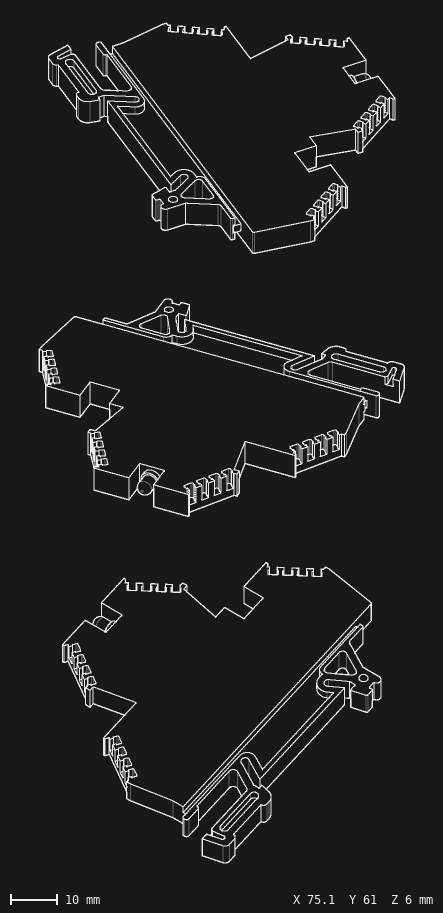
import cadquery as cq
import math

thickness = 6.0
web_thickness = 1.95
web_bottom = (thickness - web_thickness) / 2
web_top = web_bottom + web_thickness
overlap = 0.75

tower_center = 35.75
body_center = 39.0
housing_bottom = 14.05
body_top = 38.9
housing_top = 61.0
slope_angle = math.radians(56.6)

tower_neck_half = 14.4
tower_waist_half = 16.45
tower_shelf_half = 17.65
tower_slope_half = 17.0
tower_lip_half = 11.2
body_left_foot_half = 34.4
body_right_foot_half = 34.1
body_shelf_half = 36.1
body_slope_half = 35.4
body_lip_half = 29.5

tower_shelf_bottom = 48.9
tower_shelf_top = 50.1
body_bend_height = 16.75
body_shelf_bottom = 26.9
body_shelf_top = 27.85
lip_height = 0.45
lip_undercut = 0.9
corner_radius = 0.4

groove_count = 4
groove_pitch = 3.15
groove_mouth = 1.65
groove_mouth_depth = 0.8
groove_head = 2.2
groove_depth = 2.0
groove_corner = 0.3
cut_overrun = 0.4
tower_groove_start = 1.0
body_groove_start = 1.35

screw_notch_width = 5.85
screw_notch_floor = 55.4
side_notch_left = 53.4
side_notch_right = 60.4
side_notch_floor = 33.7

screw_flange_radius = 2.1
screw_flange_top = 56.6
screw_radius = 1.65
screw_tip = 60.6
screw_dome_radius = 1.4

strip_bottom = 11.8
left_strip_top = 12.5
right_strip_top = 12.7
tongue_bottom = 11.1
bar_top = 6.3
bar_bottom = 5.2
left_foot_top = 5.6
leg_bottom = 5.3
left_hook_top = 3.9
right_hook_top = 3.8
left_foot_recess_depth = 0.9

tongue_left = 2.0
tongue_right = 6.45
left_foot_tip = 1.35
left_foot_recess = (5.0, 14.95)
left_foot_recess_flare = 0.4
left_hook_foot = 18.5
left_hook_tip = 19.3
bar_rim_left = 22.8
right_hook_tip = 51.3
right_hook_foot = 52.3
right_foot_recess = (54.3, 56.0)
right_foot_end_radius = 1.0
right_foot_right = right_foot_recess[1] + 2 * right_foot_end_radius
strip_right = 67.0
web_right = 67.2

lean = math.radians(60)
slot_radius = 0.9
left_slot = (22.45, 10.7)
right_slot = (50.1, 8.8)
leg_width = 2.0
left_rim_radius = 1.95
right_rim_radius = 2.5
right_rim_step = 51.3
right_rim_left = right_slot[0] - right_rim_radius
right_rim_top = right_slot[1] + right_rim_radius

small_corner = 0.2
foot_corner = 0.3
tongue_top_corner = 0.45
tongue_tip_corner = 0.7
tongue_step_corner = 0.4
left_leg_top_corner = 1.05
left_leg_bottom_corner = 0.9
left_foot_tip_corner = 1.1
left_foot_recess_corner = 0.9
left_hook_corner = 2.2
right_leg_top_corner = 0.75
right_rim_step_corner = 1.35

web_notch_top = 13.5
web_notch_middle = 13.1
web_notch_x = 5.0
web_notch_end = 4.4

triangle_left = 51.45
triangle_right = 59.7
triangle_corner = 0.9
hole_center = (55.65, 3.45)
hole_diameter = 1.95
relief_bottom = 1.8
relief_corner = 0.45
relief_flare_height = 5.0
relief_left = (1.6, 2.5)
relief_right = (3.45, 3.0)
pocket_center = (10.7, 3.5)
pocket_length = 12.7
pocket_width = 1.95


def rounded_outline(points):
    """Closed outline through (x, y) corners; a third value rounds that corner."""
    path = []
    count = len(points)
    for i, point in enumerate(points):
        corner = cq.Vector(point[0], point[1])
        radius = point[2] if len(point) > 2 else 0
        if not radius:
            path.append((corner, None, corner))
            continue
        before = (cq.Vector(*points[i - 1][:2]) - corner).normalized()
        after = (cq.Vector(*points[(i + 1) % count][:2]) - corner).normalized()
        half = before.getAngle(after) / 2
        tangent = radius / math.tan(half)
        bulge = radius / math.sin(half) - radius
        middle = corner + (before + after).normalized() * bulge
        path.append((corner + before * tangent, middle, corner + after * tangent))
    edges = []
    for i, (start, middle, end) in enumerate(path):
        previous_end = path[i - 1][2]
        if (start - previous_end).Length > 0.0001:
            edges.append(cq.Edge.makeLine(previous_end, start))
        if middle is not None:
            edges.append(cq.Edge.makeThreePointArc(start, middle, end))
    return cq.Wire.assembleEdges(edges)


def plate(points, bottom=0.0, top=thickness):
    outline = rounded_outline(points)
    solid = cq.Solid.extrudeLinear(outline, [], cq.Vector(0, 0, top - bottom))
    return cq.Workplane(obj=solid.translate(cq.Vector(0, 0, bottom)))


def block(left, right, low, high):
    return plate([(left, low), (right, low), (right, high), (left, high)])


def two_sided_plate(center, right_points, left_points):
    """Plate with each side given as (half width, y, corner radius) from bottom to top."""
    right = [(center + half, *rest) for half, *rest in right_points]
    left = [(center - half, *rest) for half, *rest in reversed(left_points)]
    return plate(right + left)


def lip_points(slope_half, slope_start, lip_half, top):
    """Slope rising from a shelf, ending under a small overhanging lip."""
    slope_end = top - lip_undercut
    end_half = slope_half - (slope_end - slope_start) / math.tan(slope_angle)
    return [(slope_half, slope_start), (end_half, slope_end), (lip_half, top - lip_height), (lip_half, top)]


def grooves(center, side, slope_half, slope_start, first):
    """Grooves along one slope; side is -1 for the left slope and 1 for the right."""
    along = (-side * math.cos(slope_angle), math.sin(slope_angle))
    inward = (-side * math.sin(slope_angle), -math.cos(slope_angle))
    mouth = groove_mouth / 2
    head = groove_head / 2
    profile = [
        (-mouth, -cut_overrun),
        (-mouth, groove_mouth_depth),
        (-head, groove_mouth_depth),
        (-head, groove_depth, groove_corner),
        (head, groove_depth, groove_corner),
        (head, groove_mouth_depth),
        (mouth, groove_mouth_depth),
        (mouth, -cut_overrun),
    ]
    cutters = []
    for i in range(groove_count):
        distance = first + i * groove_pitch
        points = []
        for u, v, *radius in profile:
            x = center + side * slope_half + (distance + u) * along[0] + v * inward[0]
            y = slope_start + (distance + u) * along[1] + v * inward[1]
            points.append((x, y, *radius))
        cutters.append(plate(points, web_bottom, thickness))
    return cutters


def make_housing():
    body_side = [
        (body_shelf_half, body_shelf_bottom),
        (body_shelf_half, body_shelf_top),
        *lip_points(body_slope_half, body_shelf_top, body_lip_half, body_top),
    ]
    body_right = [(body_right_foot_half, housing_bottom, corner_radius), *body_side]
    body_left = [(body_left_foot_half, housing_bottom), (body_left_foot_half, body_bend_height), *body_side]
    body = two_sided_plate(body_center, body_right, body_left)

    tower_side = [
        (tower_neck_half, body_top),
        (tower_waist_half, tower_shelf_bottom),
        (tower_shelf_half, tower_shelf_bottom),
        (tower_shelf_half, tower_shelf_top),
        *lip_points(tower_slope_half, tower_shelf_top, tower_lip_half, housing_top),
    ]
    tower = two_sided_plate(tower_center, tower_side, tower_side)

    housing = body.union(tower)
    half_notch = screw_notch_width / 2
    housing = housing.cut(
        block(tower_center - half_notch, tower_center + half_notch, screw_notch_floor, housing_top)
    )
    housing = housing.cut(block(side_notch_left, side_notch_right, side_notch_floor, body_top))
    for side in (-1, 1):
        tower_grooves = grooves(tower_center, side, tower_slope_half, tower_shelf_top, tower_groove_start)
        body_grooves = grooves(body_center, side, body_slope_half, body_shelf_top, body_groove_start)
        for cutter in tower_grooves + body_grooves:
            housing = housing.cut(cutter)
    return housing


def make_screw():
    dome_start = screw_tip - screw_dome_radius
    dome_middle = screw_dome_radius * math.sqrt(0.5)
    tip_flat = screw_radius - screw_dome_radius
    root = screw_notch_floor - overlap
    profile = (
        cq.Workplane("XY")
        .moveTo(0, root)
        .lineTo(screw_flange_radius, root)
        .lineTo(screw_flange_radius, screw_flange_top)
        .lineTo(screw_radius, screw_flange_top)
        .lineTo(screw_radius, dome_start)
        .threePointArc((tip_flat + dome_middle, dome_start + dome_middle), (tip_flat, screw_tip))
        .lineTo(0, screw_tip)
        .close()
    )
    screw = profile.revolve(360, (0, 0, 0), (0, 1, 0))
    return screw.translate((tower_center, 0, thickness / 2))


def slot_edge(center, direction, side, y):
    """X of one straight slot wall at height y; direction 1 leans right going up."""
    run = (y - center[1]) / math.tan(lean)
    return center[0] + direction * run + side * slot_radius / math.sin(lean)


def slot_end(center, direction):
    """Two rounded corners that make the slot's half-round end, left one first."""
    along = (direction * math.cos(lean), math.sin(lean))
    across = (math.sin(lean), -direction * math.cos(lean))
    corners = []
    for side in (-1, 1):
        x = center[0] + slot_radius * (along[0] + side * across[0])
        y = center[1] + slot_radius * (along[1] + side * across[1])
        corners.append((x, y, slot_radius))
    return corners


def make_frame():
    leg_left_low = slot_edge(left_slot, 1, -1, left_foot_top) - leg_width
    leg_left_high = slot_edge(left_slot, 1, -1, strip_bottom) - leg_width
    left_leg_inner = slot_edge(left_slot, 1, -1, leg_bottom)
    right_leg_inner = slot_edge(right_slot, -1, 1, leg_bottom)
    right_leg_high = right_foot_right + (strip_bottom - leg_bottom) / math.tan(lean)
    rim_corner = bar_rim_left + (left_strip_top - bar_top) / math.tan(lean)
    rim_bend = right_slot[1] - right_rim_radius * math.tan((math.pi / 2 - lean) / 2)
    rim_low = right_rim_left + (rim_bend - bar_top) / math.tan(lean)

    left_foot = [
        (tongue_left, left_strip_top, tongue_top_corner),
        (tongue_left, tongue_bottom, tongue_tip_corner),
        (tongue_right, tongue_bottom, tongue_step_corner),
        (tongue_right, strip_bottom),
        (leg_left_high, strip_bottom, left_leg_top_corner),
        (leg_left_low, left_foot_top, left_leg_bottom_corner),
        (0, left_foot_top),
        (left_foot_tip, 0, left_foot_tip_corner),
        (left_foot_recess[0] - left_foot_recess_flare, 0, left_foot_recess_corner),
        (left_foot_recess[0], left_foot_recess_depth),
        (left_foot_recess[1], left_foot_recess_depth),
        (left_foot_recess[1], 0, left_foot_recess_depth),
        (left_hook_foot, 0, left_hook_corner),
        (left_hook_tip, left_hook_top),
        (left_leg_inner, left_hook_top),
        (left_leg_inner, leg_bottom),
    ]
    bar = [
        (slot_edge(left_slot, 1, 1, bar_bottom), bar_bottom),
        (slot_edge(right_slot, -1, -1, bar_bottom), bar_bottom),
    ]
    right_foot = [
        (right_leg_inner, leg_bottom),
        (right_leg_inner, right_hook_top),
        (right_hook_tip, right_hook_top, small_corner),
        (right_hook_foot, 0, foot_corner),
        (right_foot_recess[0], 0, small_corner),
        (right_foot_recess[0], right_foot_end_radius, small_corner),
        (right_foot_recess[1], right_foot_end_radius),
        (right_foot_recess[1], 0, right_foot_end_radius),
        (right_foot_right, 0, right_foot_end_radius),
        (right_foot_right, leg_bottom),
        (right_leg_high, strip_bottom, right_leg_top_corner),
        (strip_right, strip_bottom, foot_corner),
    ]
    rim = [
        (strip_right, right_strip_top),
        (right_rim_step, right_strip_top, right_rim_step_corner),
        (right_rim_step, right_rim_top),
        (right_rim_left, right_rim_top, right_rim_radius),
        (right_rim_left, rim_bend, right_rim_radius),
        (rim_low, bar_top),
        (bar_rim_left, bar_top),
        (rim_corner, left_strip_top, left_rim_radius),
    ]
    return plate(left_foot + slot_end(left_slot, 1) + bar + slot_end(right_slot, -1) + right_foot + rim)


def cut_feet(frame):
    apex_x = (triangle_left + triangle_right) / 2
    apex_y = strip_bottom - (triangle_right - triangle_left) / 2 * math.tan(lean)
    triangle = plate(
        [
            (triangle_left, strip_bottom, triangle_corner),
            (apex_x, apex_y, triangle_corner),
            (triangle_right, strip_bottom, triangle_corner),
        ]
    )
    hole = cq.Workplane().center(*hole_center).circle(hole_diameter / 2).extrude(thickness)
    pocket = (
        cq.Workplane(origin=(*pocket_center, web_top))
        .slot2D(pocket_length, pocket_width)
        .extrude(thickness - web_top)
    )
    relief = plate(
        [
            (relief_left[0], left_foot_top),
            (relief_left[1], relief_bottom, relief_corner),
            (relief_right[0], relief_bottom, relief_corner),
            (relief_right[1], relief_flare_height),
            (relief_right[0], left_foot_top),
        ],
        web_top,
        thickness,
    )
    for cutter in (triangle, hole, pocket, relief):
        frame = frame.cut(cutter)
    return frame


def make_web():
    """Thin wall joining the housing, both strips, the rims and the bar."""
    inside_housing = housing_bottom + overlap
    inside_left_strip = (left_strip_top + strip_bottom) / 2
    inside_right_strip = (right_strip_top + strip_bottom) / 2
    inside_bar = (bar_top + bar_bottom) / 2
    housing_left = body_center - body_left_foot_half
    outline = [
        (housing_left, inside_housing),
        (housing_left, web_notch_top),
        (web_notch_x, web_notch_middle),
        (web_notch_end, inside_left_strip),
        (23.3, inside_left_strip),
        (24.25, 10.9),
        (21.8, inside_bar),
        (49.7, inside_bar),
        (48.4, right_slot[1]),
        (49.6, 10.5),
        (51.5, 11.0),
        (52.6, inside_right_strip),
        (web_right, inside_right_strip),
        (web_right, inside_housing),
    ]
    return plate(outline, web_bottom, web_top)


frame = cut_feet(make_frame())
result = make_housing().union(make_screw()).union(make_web()).union(frame)